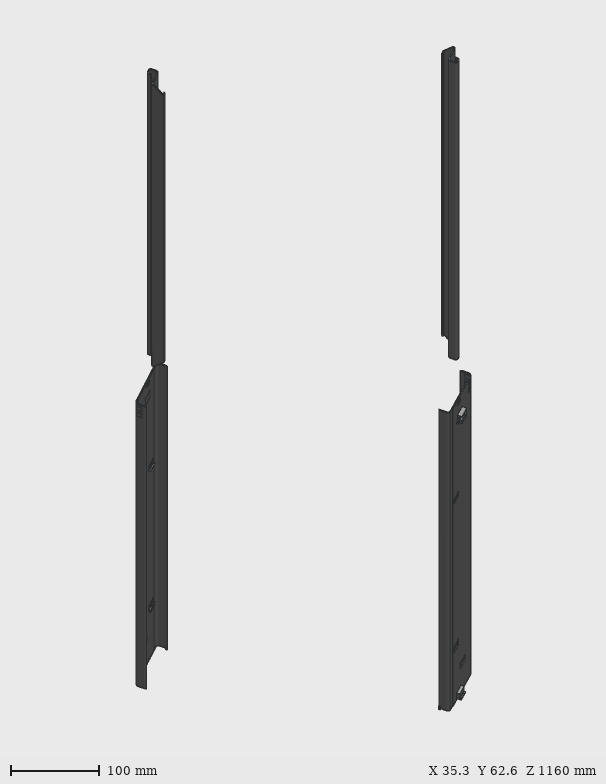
import cadquery as cq

SHEET = 1.5
BEND_RADIUS = 4.5
OVERALL_HEIGHT = 1159.99
OVERALL_WIDTH = 35.29
Z_TOP = OVERALL_HEIGHT / 2
Z_BOTTOM = -OVERALL_HEIGHT / 2
X_LEFT = -OVERALL_WIDTH / 2
X_RIGHT = OVERALL_WIDTH / 2

CHANNEL_WIDTH = 62.55
CHANNEL_BACK = -12.0
CHANNEL_FRONT = 2.0
CHANNEL_TOP = -29.5
FOOT_DROP = 2.5
FOOT_LENGTH = 2.0
FOOT_HEIGHT = 6.0
CHANNEL_BOTTOM = Z_BOTTOM + FOOT_DROP
CHANNEL_HALF = CHANNEL_WIDTH / 2
WEB_INSIDE = CHANNEL_BACK + SHEET

TOP_SLOT = (5.5, -38.0, 8.0, 4.0)
LOWER_WINDOW = (-5.0, -527.8, 13.5, 10.0)
TAB_WINDOWS = [(13.5, -204.5, 13.0, 7.0), (13.5, -477.0, 13.0, 10.5)]
TAB_GAP = 7.5
TAB_THICKNESS = 2.0

RELIEF_BOTTOMS = [-41.0, -53.0]
RELIEF_HEIGHT = 7.0
RELIEF_REACH = 9.0
RELIEF_DEPTH = 0.6

JOGGLE_WIDTH = 8.5
JOGGLE_DEPTH = 0.7
EDGE_BEVEL_LENGTH = 2.5
EDGE_BEVEL_DEPTH = 0.7

HOOK_Y_MIN = 0.5
HOOK_Y_MAX = 12.5
HOOK_HEIGHT = 10.5
HOOK_BACK = -16.0
HOOK_LIP = 1.5
HOOK_LIFT = 2.5

CATCH_Y_MIN = -3.0
CATCH_Y_MAX = 10.5
CATCH_TOP = -56.0
CATCH_BOTTOM = -69.0
CATCH_STEM_BACK = -15.0
CATCH_PLATE = 2.0
CATCH_BLOCK = 6.0
CATCH_ARM_Y = 16.0
CATCH_ARM_TOP = -60.0
CATCH_ARM_BOTTOM = -65.0
CATCH_ARM_THICKNESS = 1.5

RAIL_LENGTH = 546.0
RAIL_BOTTOM = Z_TOP - RAIL_LENGTH
RAIL_LEFT = -8.5
RAIL_BACK = 3.3
RAIL_FRONT = -17.5
RAIL_WEB = 2.0
RAIL_LIP = 8.0
LIP_RETURN = 5.0
LIP_BEND_RADIUS = 3.0
BACK_BEND_RADIUS = 4.0
FRONT_BEND_RADIUS = 2.5
TIP_LIP = 4.5
BEVEL_START = 5.5
BEVEL_RISE = 14.0


def block(x_min, x_max, y_min, y_max, z_min, z_max):
    """Axis-aligned box between two corners."""
    size = (x_max - x_min, y_max - y_min, z_max - z_min)
    return cq.Workplane("XY").box(*size, centered=False).translate((x_min, y_min, z_min))


def web_opening(centre_y, centre_z, width, height):
    """Cutter for a rectangular opening through the channel web."""
    return block(
        CHANNEL_BACK - SHEET, WEB_INSIDE + SHEET,
        centre_y - width / 2, centre_y + width / 2,
        centre_z - height / 2, centre_z + height / 2,
    )


def make_catch():
    stem = block(CATCH_STEM_BACK, WEB_INSIDE, CATCH_Y_MIN, CATCH_Y_MAX, CATCH_BOTTOM, CATCH_TOP)
    plate = block(
        X_LEFT, CATCH_STEM_BACK, CATCH_Y_MIN, CATCH_Y_MAX, CATCH_TOP - CATCH_PLATE, CATCH_TOP
    )
    lower_block = block(
        X_LEFT, CATCH_STEM_BACK, CATCH_Y_MIN, CATCH_Y_MAX, CATCH_BOTTOM, CATCH_BOTTOM + CATCH_BLOCK
    )
    arm = block(
        CATCH_STEM_BACK, CATCH_STEM_BACK + CATCH_ARM_THICKNESS,
        CATCH_Y_MAX, CATCH_ARM_Y, CATCH_ARM_BOTTOM, CATCH_ARM_TOP,
    )
    return stem.union(plate).union(lower_block).union(arm)


def channel_section():
    outer = block(
        CHANNEL_BACK, CHANNEL_FRONT, -CHANNEL_HALF, CHANNEL_HALF, CHANNEL_BOTTOM, CHANNEL_TOP
    ).edges("|Z and <X").fillet(BEND_RADIUS)
    inner = block(
        WEB_INSIDE, CHANNEL_FRONT + SHEET,
        -CHANNEL_HALF + SHEET, CHANNEL_HALF - SHEET, CHANNEL_BOTTOM, CHANNEL_TOP,
    ).edges("|Z and <X").fillet(BEND_RADIUS - SHEET)
    return outer.cut(inner)


def edge_bevel(side):
    """Cutter bevelling the outside of one flange; side is +1 or -1 along Y."""
    corner = [
        (CHANNEL_FRONT - EDGE_BEVEL_LENGTH, side * CHANNEL_HALF),
        (CHANNEL_FRONT, side * CHANNEL_HALF),
        (CHANNEL_FRONT, side * (CHANNEL_HALF - EDGE_BEVEL_DEPTH)),
    ]
    cutter = cq.Workplane("XY").workplane(offset=CHANNEL_BOTTOM).polyline(corner).close()
    return cutter.extrude(CHANNEL_TOP - CHANNEL_BOTTOM)


def edge_joggle():
    """Cutter for the shallow step along the +Y edge of the web."""
    return block(
        CHANNEL_BACK, CHANNEL_BACK + JOGGLE_DEPTH,
        CHANNEL_HALF - JOGGLE_WIDTH, CHANNEL_HALF, CHANNEL_BOTTOM, CHANNEL_TOP,
    )


def corner_relief(bottom):
    """Cutter for one shallow relief, on the web and the -Y flange."""
    top = bottom + RELIEF_HEIGHT
    on_web = block(
        CHANNEL_BACK, CHANNEL_BACK + RELIEF_DEPTH,
        -CHANNEL_HALF, -CHANNEL_HALF + RELIEF_REACH, bottom, top,
    )
    on_flange = block(
        CHANNEL_BACK, CHANNEL_BACK + RELIEF_REACH,
        -CHANNEL_HALF, -CHANNEL_HALF + RELIEF_DEPTH, bottom, top,
    )
    return on_web.union(on_flange)


def inward_tab(centre_y, centre_z, width, height):
    """Tab pressed inwards, covering the lower part of its window."""
    bottom = centre_z - height / 2
    y_min = centre_y - width / 2
    y_max = centre_y + width / 2
    return block(
        WEB_INSIDE, WEB_INSIDE + TAB_THICKNESS, y_min, y_max,
        bottom - SHEET, bottom + height - TAB_GAP,
    )


def hook():
    """Upright strip standing off the web, with a lip pointing to -X at its foot."""
    bottom = CHANNEL_BOTTOM + HOOK_LIFT
    upright = block(
        HOOK_BACK, CHANNEL_BACK, HOOK_Y_MIN, HOOK_Y_MAX, bottom, bottom + HOOK_HEIGHT
    )
    lip = block(X_LEFT, HOOK_BACK, HOOK_Y_MIN, HOOK_Y_MAX, bottom, bottom + HOOK_LIP)
    return upright.union(lip)


def make_channel():
    channel = channel_section().cut(edge_joggle())
    for side in (1, -1):
        channel = channel.cut(edge_bevel(side))
    for opening in [TOP_SLOT, LOWER_WINDOW, *TAB_WINDOWS]:
        channel = channel.cut(web_opening(*opening))
    for window in TAB_WINDOWS:
        channel = channel.union(inward_tab(*window))
    for relief_bottom in RELIEF_BOTTOMS:
        channel = channel.cut(corner_relief(relief_bottom))
    foot = block(
        CHANNEL_FRONT - FOOT_LENGTH, CHANNEL_FRONT,
        CHANNEL_HALF - SHEET, CHANNEL_HALF, Z_BOTTOM, Z_BOTTOM + FOOT_HEIGHT,
    )
    catch_hole = block(
        CHANNEL_BACK, WEB_INSIDE, CATCH_Y_MIN, CATCH_Y_MAX, CATCH_BOTTOM, CATCH_TOP
    )
    return channel.union(foot).union(hook()).cut(catch_hole)


def rail_section():
    """Bent strip: returned lip, back flange, web, wide front flange and tip lip."""
    lip_end = RAIL_BACK - RAIL_LIP
    outline = [
        (RAIL_LEFT + LIP_RETURN, lip_end),
        (RAIL_LEFT, lip_end),
        (RAIL_LEFT, RAIL_BACK),
        (RAIL_WEB + SHEET, RAIL_BACK),
        (RAIL_WEB + SHEET, RAIL_FRONT + SHEET),
        (X_RIGHT - SHEET, RAIL_FRONT + SHEET),
        (X_RIGHT - SHEET, RAIL_FRONT + TIP_LIP),
        (X_RIGHT, RAIL_FRONT + TIP_LIP),
        (X_RIGHT, RAIL_FRONT),
        (RAIL_WEB, RAIL_FRONT),
        (RAIL_WEB, RAIL_BACK - SHEET),
        (RAIL_LEFT + SHEET, RAIL_BACK - SHEET),
        (RAIL_LEFT + SHEET, lip_end + SHEET),
        (RAIL_LEFT + LIP_RETURN, lip_end + SHEET),
    ]
    strip = cq.Workplane("XY").workplane(offset=RAIL_BOTTOM).polyline(outline).close()
    return strip.extrude(RAIL_LENGTH)


def round_bend(strip, x, y, x_step, y_step, radius):
    """Round one bend; the steps lead from its outer corner to its inner corner."""
    middle_z = Z_TOP - RAIL_LENGTH / 2
    outer = (x, y, middle_z)
    inner = (x + x_step * SHEET, y + y_step * SHEET, middle_z)
    strip = strip.edges(cq.selectors.NearestToPointSelector(outer)).fillet(radius)
    return strip.edges(cq.selectors.NearestToPointSelector(inner)).fillet(radius - SHEET)


def round_bends(strip):
    strip = round_bend(strip, RAIL_LEFT, RAIL_BACK, 1, -1, LIP_BEND_RADIUS)
    strip = round_bend(strip, RAIL_LEFT, RAIL_BACK - RAIL_LIP, 1, 1, LIP_BEND_RADIUS)
    strip = round_bend(strip, RAIL_WEB + SHEET, RAIL_BACK, -1, -1, BACK_BEND_RADIUS)
    return round_bend(strip, RAIL_WEB, RAIL_FRONT, 1, 1, FRONT_BEND_RADIUS)


def end_bevel(end_z, rise):
    """Triangular cutter that bevels the wide flange at one end of the rail."""
    corner = [(BEVEL_START, end_z), (X_RIGHT, end_z), (X_RIGHT, end_z - rise)]
    return cq.Workplane("XZ").polyline(corner).close().extrude(CHANNEL_HALF, both=True)


def make_rail():
    rail = round_bends(rail_section())
    rail = rail.cut(end_bevel(Z_TOP, BEVEL_RISE))
    return rail.cut(end_bevel(RAIL_BOTTOM, -BEVEL_RISE))


rail = make_rail()
channel = make_channel()
catch = make_catch()
result = cq.Compound.makeCompound([rail.val(), channel.val(), catch.val()])